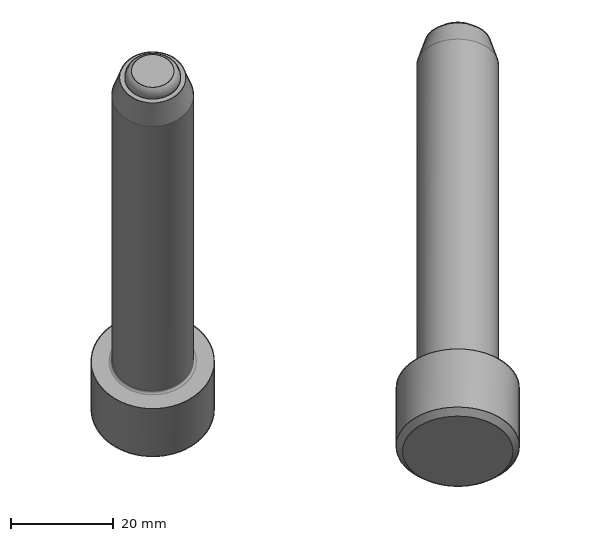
import cadquery as cq
import math

total_height = 105.0
head_radius = 24.0 / 2
head_height = 16.0
head_chamfer = 1.3
shank_radius = 16.0 / 2
root_fillet = 0.5

taper_height = 5.4
taper_top_radius = 12.9 / 2
tip_height = 2.0
tip_base_radius = 10.9 / 2
tip_top_radius = 8.3 / 2

taper_top_z = total_height - tip_height
shank_top_z = taper_top_z - taper_height

tip_run = tip_base_radius - tip_top_radius
tip_arc_radius = (tip_run**2 + tip_height**2) / (2 * tip_run)
tip_arc_half_angle = math.asin(tip_height / tip_arc_radius) / 2
tip_arc_middle = (
    tip_base_radius - tip_arc_radius * (1 - math.cos(tip_arc_half_angle)),
    taper_top_z + tip_arc_radius * math.sin(tip_arc_half_angle),
)

fillet_center_radius = shank_radius + root_fillet
fillet_center_z = head_height + root_fillet
fillet_middle_offset = root_fillet * math.sqrt(0.5)
fillet_middle = (
    fillet_center_radius - fillet_middle_offset,
    fillet_center_z - fillet_middle_offset,
)

profile = (
    cq.Workplane("XZ")
    .lineTo(head_radius - head_chamfer, 0)
    .lineTo(head_radius, head_chamfer)
    .lineTo(head_radius, head_height)
    .lineTo(fillet_center_radius, head_height)
    .threePointArc(fillet_middle, (shank_radius, fillet_center_z))
    .lineTo(shank_radius, shank_top_z)
    .lineTo(taper_top_radius, taper_top_z)
    .lineTo(tip_base_radius, taper_top_z)
    .threePointArc(tip_arc_middle, (tip_top_radius, total_height))
    .lineTo(0, total_height)
    .close()
)

result = profile.revolve(360, (0, 0), (0, 1))